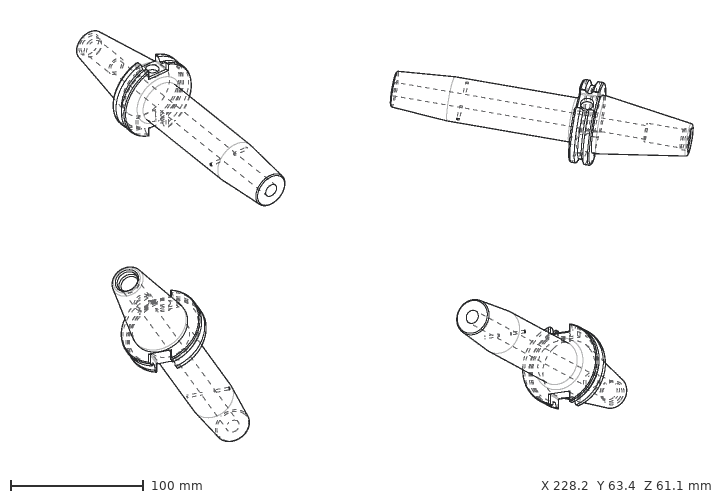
import cadquery as cq
import math

total_length = 228.2
gauge_x = 68.2
flange_start = 71.5
flange_end = 87.2
nose_start = 184.0

taper_slope = 3.5 / 24
gauge_radius = 44.5 / 2
small_end_radius = gauge_radius - taper_slope * gauge_x
small_end_round = 1.71
flange_radius = 31.7
flange_chamfer_length = 1.1
flange_chamfer_height = 0.7
shank_radius = 34.0 / 2
shank_fillet = 3.2
nose_radius = 13.7
nose_chamfer = 1.0

groove_x = 79.5
groove_floor_width = 2.7
groove_depth = 3.5
groove_half_angle = 30.0
groove_top_width = groove_floor_width + 2 * groove_depth * math.tan(math.radians(groove_half_angle))

slot_width = 16.2
top_slot_floor = 24.9
bottom_slot_floor = 22.5
slot_face_chamfer = 1.1
slot_rim_chamfer = 0.57
slot_corner_fillet = 0.7
slot_cutter_top = flange_radius + 2.3
slot_hole_diameter = 10.0
slot_hole_depth = 4.5

through_radius = 10.3 / 2
thread_radius = 7.0
thread_end = 34.2
counterbore_radius = 8.2
counterbore_depth = 5.0
thread_start = 6.5
counterbore_chamfer = 1.1

cross_hole_x = 175.3
cross_hole_diameter = 2.0


def make_body():
    """Taper, flange, shank and nose turned about the X axis."""
    rim_radius = flange_radius - flange_chamfer_height
    groove_radius = flange_radius - groove_depth
    profile = (
        cq.Workplane("XZ")
        .moveTo(0, 0)
        .lineTo(0, small_end_radius)
        .lineTo(gauge_x, gauge_radius)
        .lineTo(flange_start, gauge_radius)
        .lineTo(flange_start, rim_radius)
        .lineTo(flange_start + flange_chamfer_length, flange_radius)
        .lineTo(groove_x - groove_top_width / 2, flange_radius)
        .lineTo(groove_x - groove_floor_width / 2, groove_radius)
        .lineTo(groove_x + groove_floor_width / 2, groove_radius)
        .lineTo(groove_x + groove_top_width / 2, flange_radius)
        .lineTo(flange_end - flange_chamfer_length, flange_radius)
        .lineTo(flange_end, rim_radius)
        .lineTo(flange_end, shank_radius + shank_fillet)
        .radiusArc((flange_end + shank_fillet, shank_radius), -shank_fillet)
        .lineTo(nose_start, shank_radius)
        .lineTo(total_length, nose_radius)
        .lineTo(total_length, 0)
        .close()
    )
    body = profile.revolve(360, (0, 0, 0), (1, 0, 0))
    body = body.faces("<X").edges().fillet(small_end_round)
    return body.faces(">X").edges().chamfer(nose_chamfer)


def make_bore():
    """Through bore with a thread hole, a lead-in cone and a chamfered counterbore at the small end."""
    return (
        cq.Workplane("XZ")
        .moveTo(0, 0)
        .lineTo(0, counterbore_radius + counterbore_chamfer)
        .lineTo(counterbore_chamfer, counterbore_radius)
        .lineTo(counterbore_depth, counterbore_radius)
        .lineTo(thread_start, thread_radius)
        .lineTo(thread_end, thread_radius)
        .lineTo(thread_end, through_radius)
        .lineTo(total_length, through_radius)
        .lineTo(total_length, 0)
        .close()
        .revolve(360, (0, 0, 0), (1, 0, 0))
    )


def make_face_chamfer(face_x, inward, floor):
    """Wedge that chamfers a slot's edges where it breaks through a flange face."""
    def section(x, half_width, bottom):
        return cq.Wire.makePolygon(
            [
                cq.Vector(x, -half_width, bottom),
                cq.Vector(x, half_width, bottom),
                cq.Vector(x, half_width, slot_cutter_top),
                cq.Vector(x, -half_width, slot_cutter_top),
            ],
            close=True,
        )

    half = slot_width / 2
    floor_drop = slot_face_chamfer if floor - slot_face_chamfer > gauge_radius else 0
    outer = section(face_x, half + slot_face_chamfer, floor - floor_drop)
    inner = section(face_x + inward * slot_face_chamfer, half, floor)
    return cq.Workplane(cq.Solid.makeLoft([outer, inner], True))


def make_slot(floor):
    """Drive slot across the +Z side of the flange, with all its chamfers."""
    half = slot_width / 2
    flare_start = math.sqrt(flange_radius**2 - half**2) - slot_rim_chamfer
    flared_half = half + slot_cutter_top - flare_start
    slot = (
        cq.Workplane("YZ", origin=(flange_start, 0, 0))
        .polyline([
            (-half, floor),
            (half, floor),
            (half, flare_start),
            (flared_half, slot_cutter_top),
            (-flared_half, slot_cutter_top),
            (-half, flare_start),
        ])
        .close()
        .extrude(flange_end - flange_start)
    )
    slot = slot.faces("<Z").edges("|X").fillet(slot_corner_fillet)
    slot = slot.union(make_face_chamfer(flange_start, 1, floor))
    return slot.union(make_face_chamfer(flange_end, -1, floor))


top_slot = make_slot(top_slot_floor)
bottom_slot = make_slot(bottom_slot_floor).rotate((0, 0, 0), (1, 0, 0), 180)

slot_hole = (
    cq.Workplane("XY", origin=(groove_x, 0, top_slot_floor - slot_hole_depth))
    .circle(slot_hole_diameter / 2)
    .extrude(slot_hole_depth)
)

cross_hole = (
    cq.Workplane("XZ", origin=(cross_hole_x, 0, 0))
    .circle(cross_hole_diameter / 2)
    .extrude(shank_radius, both=True)
)

result = (
    make_body()
    .cut(make_bore())
    .cut(top_slot)
    .cut(bottom_slot)
    .cut(slot_hole)
    .cut(cross_hole)
)